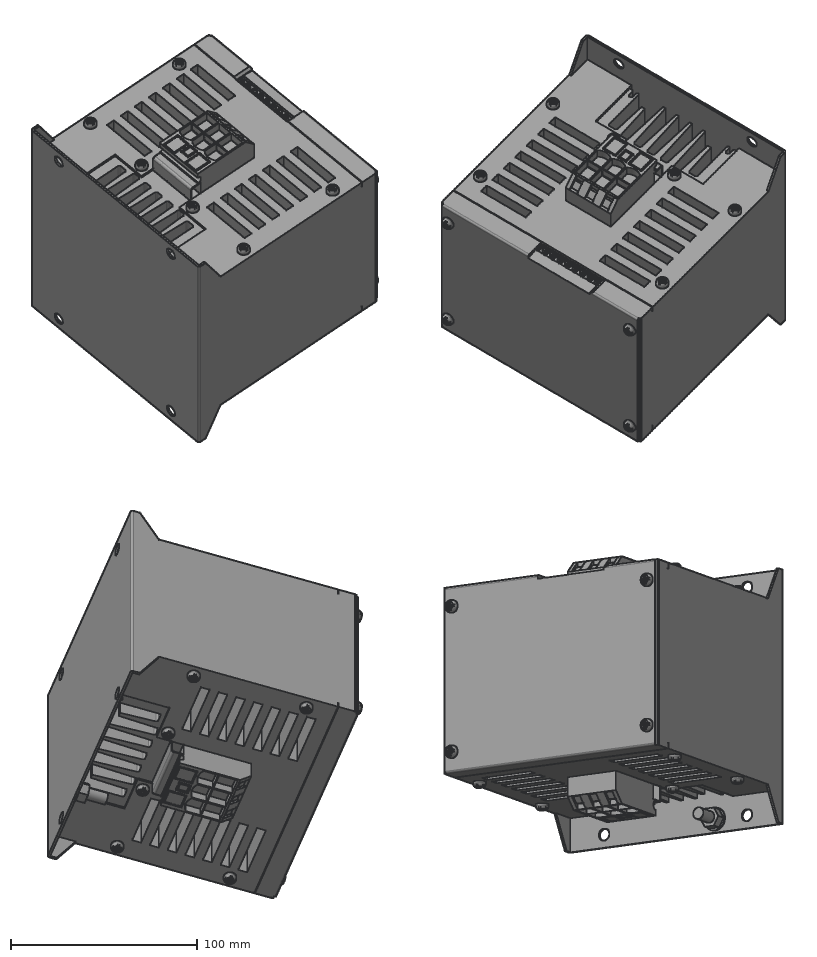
import cadquery as cq
import math

WIDTH = 134.9
PLATE_HEIGHT = 139.9
BODY_HEIGHT = 102.4
SHEET = 1.3
PLATE_BEND_RADIUS = SHEET
HALF_WIDTH = WIDTH / 2
HALF_PLATE = PLATE_HEIGHT / 2
TOP = BODY_HEIGHT / 2
INNER_HALF_WIDTH = HALF_WIDTH - SHEET
BODY_BACK = 128.7
COVER_BACK = BODY_BACK + SHEET
COVER_BEND_RADIUS = 1.1
SIDE_WALL_BACK = 127.6
SIDE_STEP = 0.1
SEAM_Y = 118.1
SEAM_WIDTH = 0.4
SEAM_DEPTH = 3.2

WING_ROOT_Y = 15.8
WING_TIP_Y = 5.0

MOUNT_HOLE_DIAMETER = 6.6
MOUNT_HOLE_X = 45.0
MOUNT_HOLE_Z = 62.7

VENT_X = 40.2
VENT_LENGTH = 30.2
VENT_WIDTH = 5.0
VENT_FIRST_Y = 46.6
VENT_PITCH = 10.1
VENT_COUNT = 7

SINK_HALF_WIDTH = 36.4
SINK_BACK = 33.0
FIN_PITCH = 9.0
LONG_FIN_X = (FIN_PITCH / 2, FIN_PITCH * 3 / 2)
SHORT_FIN_X = FIN_PITCH * 5 / 2
FIN_TIP_Y = 2.1
FIN_TIP_HALF = 0.8
FIN_ROOT_Y = 32.3
FIN_ROOT_HALF = 2.1
SHORT_FIN_TIP_Y = 9.2
SHORT_FIN_TIP_HALF = 1.1
GAP_CORNER = 1.1
OUTER_GAP_BACK = 30.4
LEG_INNER_X = 30.0
LEG_TIP_Y = 2.8
LEG_TIP_RADIUS = 0.7
LEG_NOTCH_X = 32.7
LEG_NOTCH_WIDTH = 2.4
LEG_NOTCH_BACK = 7.4
LEG_NOTCH_RADIUS = 1.0
PICK_MARGIN = 0.1

SCREW_RADIUS = 3.5
SCREW_RIM = 1.0
SCREW_HEIGHT = 3.0
SCREW_TIP_RADIUS = 2.2
SCREW_DOME_RADIUS = 3.1
SCREW_DOME_HEIGHT = 2.1
CROSS_LENGTH = 5.0
CROSS_WIDTH = 1.1
CROSS_DEPTH = 1.4
SCREW_OUTER_X = 61.5
SCREW_INNER_X = SCREW_OUTER_X / 3
SCREW_FRONT_Y = 37.8
SCREW_REAR_Y = 102.0
SCREW_BACK_Z = 40.0

BLOCK_HALF_WIDTH = 15.2
BLOCK_FRONT = 46.2
BLOCK_WAIST = 48.5
BLOCK_BACK = 87.0
BLOCK_TOP = 68.1
BLOCK_CHAMFER = 6.3
LIP_BOTTOM = 64.9
GROOVE_BOTTOM = 60.5
KEY_PITCH = 10.2
KEY_WIDTH = 5.0
KEY_BACK = 85.2
KEY_FRONT = 82.0
CELL_PITCH = 10.0
CELL_WIDTH = 9.1
CELL_DEPTH = 5.5
REAR_CELL_FRONT = 69.0
REAR_CELL_BACK = 79.5
FRONT_CELL_FRONT = 60.0
FRONT_CELL_BACK = 68.4
CELL_BULGE = 1.5
LABEL_X = 8.7
LABEL_WIDTH = 8.7
LABEL_FRONT = 46.7
LABEL_BACK = 57.2
LABEL_DEPTH = 0.7
LABEL_RIM = 0.5
WINDOW_WIDTH = 5.6
WINDOW_FRONT = 50.4
WINDOW_DEPTH = 1.4
WINDOW_RIM = 0.8

BRACKET_FRONT = 41.3
BRACKET_TOP = 60.0
BRACKET_THICKNESS = 0.7
BRACKET_RADIUS = 1.5

RECESS_LEFT = -35.7
RECESS_RIGHT = 7.7
RECESS_BEVEL = 1.8
RECESS_FRONT_DEPTH = 1.3
RECESS_BACK_DEPTH = 2.2
POLE_COUNT = 8
POLE_PITCH = 5.0
POLE_FIRST_X = -31.2
POLE_CELL_OFFSET = 0.5
POLE_CELL_WIDTH = 4.6
POLE_CELL_FRONT = 118.5
POLE_CELL_BACK = 123.4
POLE_CELL_DEPTH = 3.4
POLE_Y = 120.5
POLE_POST = 1.5

STUD_X = -25.0
STUD_Z = -62.5
STUD_RADIUS = 3.2
STUD_END = 18.5
NUT_FLATS = 10.0
NUT_CORNERS = NUT_FLATS / math.cos(math.radians(30))
NUT_END = 7.3
WASHER_RADIUS = 6.3
WASHER_THICKNESS = 0.5


def block(x0, x1, y0, y1, z0, z1):
    """Box between two opposite corners."""
    return cq.Workplane("XY").box(x1 - x0, y1 - y0, z1 - z0, centered=False).translate((x0, y0, z0))


def centred_block(x, width, y0, y1, z0, z1):
    """Box of the given width centred on x."""
    return block(x - width / 2, x + width / 2, y0, y1, z0, z1)


def on_both_ends(shape):
    """A shape together with its mirror image below the mid plane."""
    return shape.union(shape.mirror("XY"))


def make_enclosure():
    core = block(-HALF_WIDTH, HALF_WIDTH, 0, BODY_BACK, -TOP, TOP)
    wing_outline = [
        (0, -HALF_PLATE),
        (WING_TIP_Y, -HALF_PLATE),
        (WING_ROOT_Y, -TOP),
        (WING_ROOT_Y, TOP),
        (WING_TIP_Y, HALF_PLATE),
        (0, HALF_PLATE),
    ]
    wings = cq.Workplane("YZ").polyline(wing_outline).close().extrude(HALF_WIDTH, both=True)
    wing_space = block(-INNER_HALF_WIDTH, INNER_HALF_WIDTH, SHEET, WING_ROOT_Y, TOP, HALF_PLATE)
    wings = wings.cut(on_both_ends(wing_space))
    body = core.union(wings).edges("|Z and <Y").fillet(PLATE_BEND_RADIUS)

    cover = block(-INNER_HALF_WIDTH, INNER_HALF_WIDTH, SEAM_Y, COVER_BACK, -TOP, TOP)
    body = body.union(cover.edges("|X and >Y").fillet(COVER_BEND_RADIUS))

    for side in (-1, 1):
        step_x = side * (HALF_WIDTH - SIDE_STEP / 2)
        body = body.cut(centred_block(step_x, SIDE_STEP, SIDE_WALL_BACK, BODY_BACK, -TOP, TOP))

    seam = block(
        -HALF_WIDTH, HALF_WIDTH, SEAM_Y - SEAM_WIDTH / 2, SEAM_Y + SEAM_WIDTH / 2, TOP - SEAM_DEPTH, TOP
    )
    mount_holes = (
        cq.Workplane("XZ")
        .rect(2 * MOUNT_HOLE_X, 2 * MOUNT_HOLE_Z, forConstruction=True)
        .vertices()
        .circle(MOUNT_HOLE_DIAMETER / 2)
        .extrude(-SHEET)
    )
    return body.cut(on_both_ends(seam)).cut(mount_holes)


def make_vents():
    vents = cq.Workplane("XY")
    for row in range(VENT_COUNT):
        front = VENT_FIRST_Y + row * VENT_PITCH - VENT_WIDTH / 2
        for side in (-1, 1):
            vents = vents.union(
                centred_block(side * VENT_X, VENT_LENGTH, front, front + VENT_WIDTH, -TOP, TOP)
            )
    return vents


def make_fin(x, tip_y, tip_half):
    outline = [
        (x - tip_half, tip_y),
        (x + tip_half, tip_y),
        (x + FIN_ROOT_HALF, FIN_ROOT_Y),
        (x - FIN_ROOT_HALF, FIN_ROOT_Y),
    ]
    return cq.Workplane("XY").polyline(outline).close().extrude(TOP, both=True)


def make_sink_air():
    """Open space between the heat sink fins, running the full height of the body."""
    air = block(-LEG_INNER_X, LEG_INNER_X, SHEET, FIN_ROOT_Y, -TOP, TOP)
    air = air.union(block(-SINK_HALF_WIDTH, SINK_HALF_WIDTH, SHEET, LEG_TIP_Y, -TOP, TOP))
    for side in (-1, 1):
        shoulder_x = side * (SHORT_FIN_X + LEG_INNER_X) / 2
        shoulder_width = LEG_INNER_X - SHORT_FIN_X
        air = air.cut(centred_block(shoulder_x, shoulder_width, OUTER_GAP_BACK, FIN_ROOT_Y, -TOP, TOP))
        for x in LONG_FIN_X:
            air = air.cut(make_fin(side * x, FIN_TIP_Y, FIN_TIP_HALF))
        air = air.cut(make_fin(side * SHORT_FIN_X, SHORT_FIN_TIP_Y, SHORT_FIN_TIP_HALF))
        notch = centred_block(side * LEG_NOTCH_X, LEG_NOTCH_WIDTH, SHEET, LEG_NOTCH_BACK, -TOP, TOP)
        air = air.union(notch.edges("|Z and >Y").fillet(LEG_NOTCH_RADIUS))
    gap_corners = cq.selectors.BoxSelector(
        (-SINK_HALF_WIDTH, OUTER_GAP_BACK - PICK_MARGIN, -TOP),
        (SINK_HALF_WIDTH, FIN_ROOT_Y + PICK_MARGIN, TOP),
    )
    leg_tips = cq.selectors.BoxSelector(
        (-SINK_HALF_WIDTH + PICK_MARGIN, LEG_TIP_Y - PICK_MARGIN, -TOP),
        (SINK_HALF_WIDTH - PICK_MARGIN, LEG_TIP_Y + PICK_MARGIN, TOP),
    )
    air = air.edges("|Z").edges(gap_corners).fillet(GAP_CORNER)
    return air.edges("|Z").edges(leg_tips).fillet(LEG_TIP_RADIUS)


def make_sink_opening():
    """Cut-out in the top panel that exposes the heat sink and the terminal block."""
    z0 = TOP - SHEET
    wide = block(-SINK_HALF_WIDTH, SINK_HALF_WIDTH, SHEET, SINK_BACK, z0, TOP)
    narrow = block(-BLOCK_HALF_WIDTH, BLOCK_HALF_WIDTH, SINK_BACK, BLOCK_BACK, z0, TOP)
    return wide.union(narrow)


def make_frame(x, width, front, rim, depth):
    """Rectangular groove around a plate on top of the terminal block."""
    floor = BLOCK_TOP - depth
    outer = centred_block(x, width, front, LABEL_BACK, floor, BLOCK_TOP)
    plate = centred_block(x, width - 2 * rim, front + rim, LABEL_BACK - rim, floor, BLOCK_TOP)
    return outer.cut(plate)


def make_terminal_block():
    waist_mid = (BLOCK_WAIST, (LIP_BOTTOM + GROOVE_BOTTOM) / 2)
    base = TOP - SHEET
    bracket_underside = BRACKET_TOP - BRACKET_THICKNESS
    terminal = (
        cq.Workplane("YZ")
        .moveTo(BLOCK_WAIST, base)
        .lineTo(BLOCK_WAIST, bracket_underside)
        .lineTo(BLOCK_FRONT, GROOVE_BOTTOM)
        .threePointArc(waist_mid, (BLOCK_FRONT, LIP_BOTTOM))
        .lineTo(BLOCK_FRONT, BLOCK_TOP)
        .lineTo(BLOCK_BACK - BLOCK_CHAMFER, BLOCK_TOP)
        .lineTo(BLOCK_BACK, BLOCK_TOP - BLOCK_CHAMFER)
        .lineTo(BLOCK_BACK, base)
        .close()
        .extrude(BLOCK_HALF_WIDTH, both=True)
    )

    chamfer_foot = BLOCK_TOP - BLOCK_CHAMFER
    key_ledge = chamfer_foot + KEY_BACK - KEY_FRONT
    key_outline = [
        (BLOCK_BACK, chamfer_foot),
        (KEY_BACK, chamfer_foot),
        (KEY_FRONT, key_ledge),
        (BLOCK_BACK - BLOCK_CHAMFER, key_ledge),
        (BLOCK_BACK - BLOCK_CHAMFER, BLOCK_TOP),
        (BLOCK_BACK, BLOCK_TOP),
    ]
    key_slot = cq.Workplane("YZ").polyline(key_outline).close().extrude(KEY_WIDTH / 2, both=True)
    for column in (-1, 0, 1):
        x = column * CELL_PITCH
        terminal = terminal.cut(key_slot.translate((column * KEY_PITCH, 0, 0)))
        terminal = terminal.cut(
            centred_block(x, CELL_WIDTH, REAR_CELL_FRONT, REAR_CELL_BACK, BLOCK_TOP - CELL_DEPTH, BLOCK_TOP)
        )
        front_cell = (
            cq.Workplane("XY", origin=(x, 0, BLOCK_TOP))
            .moveTo(-CELL_WIDTH / 2, FRONT_CELL_BACK)
            .lineTo(-CELL_WIDTH / 2, FRONT_CELL_FRONT)
            .threePointArc((0, FRONT_CELL_FRONT - CELL_BULGE), (CELL_WIDTH / 2, FRONT_CELL_FRONT))
            .lineTo(CELL_WIDTH / 2, FRONT_CELL_BACK)
            .close()
            .extrude(-CELL_DEPTH)
        )
        terminal = terminal.cut(front_cell)

    for side in (-1, 1):
        frame = make_frame(side * LABEL_X, LABEL_WIDTH, LABEL_FRONT, LABEL_RIM, LABEL_DEPTH)
        terminal = terminal.cut(frame)
    return terminal.cut(make_frame(0, WINDOW_WIDTH, WINDOW_FRONT, WINDOW_RIM, WINDOW_DEPTH))


def make_bracket():
    z0 = TOP - SHEET
    outer = block(-BLOCK_HALF_WIDTH, BLOCK_HALF_WIDTH, BRACKET_FRONT, BLOCK_WAIST, z0, BRACKET_TOP)
    outer = outer.edges("|X and <Y and >Z").fillet(BRACKET_RADIUS)
    inner = block(
        -BLOCK_HALF_WIDTH,
        BLOCK_HALF_WIDTH,
        BRACKET_FRONT + BRACKET_THICKNESS,
        BLOCK_WAIST,
        z0,
        BRACKET_TOP - BRACKET_THICKNESS,
    )
    inner = inner.edges("|X and <Y and >Z").fillet(BRACKET_RADIUS - BRACKET_THICKNESS)
    return outer.cut(inner)


def make_screw():
    """Domed cross-recess screw head standing on the XY plane."""
    head = (
        cq.Workplane("XZ")
        .lineTo(SCREW_RADIUS, 0)
        .lineTo(SCREW_RADIUS, SCREW_RIM)
        .threePointArc((SCREW_DOME_RADIUS, SCREW_DOME_HEIGHT), (SCREW_TIP_RADIUS, SCREW_HEIGHT))
        .lineTo(0, SCREW_HEIGHT)
        .close()
        .revolve(360, (0, 0, 0), (0, 1, 0))
    )
    cross = cq.Workplane("XY").rect(CROSS_LENGTH, CROSS_WIDTH).extrude(-CROSS_DEPTH)
    cross = cross.union(cross.rotate((0, 0, 0), (0, 0, 1), 90))
    return head.cut(cross.translate((0, 0, SCREW_HEIGHT)))


def make_screws():
    screw = make_screw()
    screws = cq.Workplane("XY")
    back_screw = screw.rotate((0, 0, 0), (1, 0, 0), -90)
    for side in (-1, 1):
        x = side * SCREW_OUTER_X
        screws = screws.union(screw.translate((x, SCREW_REAR_Y, TOP)))
        screws = screws.union(screw.translate((x, SCREW_FRONT_Y, TOP)))
        screws = screws.union(screw.translate((side * SCREW_INNER_X, SCREW_FRONT_Y, TOP)))
        screws = screws.union(back_screw.translate((x, COVER_BACK, SCREW_BACK_Z)))
    return on_both_ends(screws)


def make_connector_recess():
    """Sloping recess with a row of connector cells, each holding one square pin."""
    bevel_foot = RECESS_LEFT + RECESS_BEVEL
    y0 = SEAM_Y
    recess_outline = [
        (y0, TOP),
        (y0, TOP - RECESS_FRONT_DEPTH),
        (POLE_CELL_BACK, TOP - RECESS_FRONT_DEPTH),
        (COVER_BACK, TOP - RECESS_BACK_DEPTH),
        (COVER_BACK, TOP),
    ]
    recess = (
        cq.Workplane("YZ", origin=(bevel_foot, 0, 0))
        .polyline(recess_outline)
        .close()
        .extrude(RECESS_RIGHT - bevel_foot)
    )
    bevel_outline = [
        (RECESS_LEFT, TOP),
        (bevel_foot, TOP),
        (bevel_foot, TOP - RECESS_FRONT_DEPTH),
    ]
    bevel = cq.Workplane("XZ", origin=(0, y0, 0)).polyline(bevel_outline).close().extrude(y0 - COVER_BACK)
    recess = recess.union(bevel)

    floor = TOP - POLE_CELL_DEPTH
    for pole in range(POLE_COUNT):
        x = POLE_FIRST_X + pole * POLE_PITCH
        cell = centred_block(
            x + POLE_CELL_OFFSET, POLE_CELL_WIDTH, POLE_CELL_FRONT, POLE_CELL_BACK, floor, TOP
        )
        pin = centred_block(
            x, POLE_POST, POLE_Y - POLE_POST / 2, POLE_Y + POLE_POST / 2, floor, TOP - RECESS_FRONT_DEPTH
        )
        recess = recess.union(cell).cut(pin)
    return recess


def make_earth_stud():
    base = cq.Workplane("XZ", origin=(STUD_X, SHEET, STUD_Z))
    stud = base.circle(STUD_RADIUS).extrude(SHEET - STUD_END)
    nut = base.polygon(6, NUT_CORNERS).extrude(SHEET - NUT_END)
    washer = base.circle(WASHER_RADIUS).extrude(-WASHER_THICKNESS)
    return stud.union(nut).union(washer)


enclosure = (
    make_enclosure()
    .cut(make_vents())
    .cut(make_sink_air())
    .cut(on_both_ends(make_sink_opening()))
    .cut(make_connector_recess())
)
terminals = on_both_ends(make_terminal_block().union(make_bracket()))
result = enclosure.union(terminals).union(make_screws()).union(make_earth_stud())